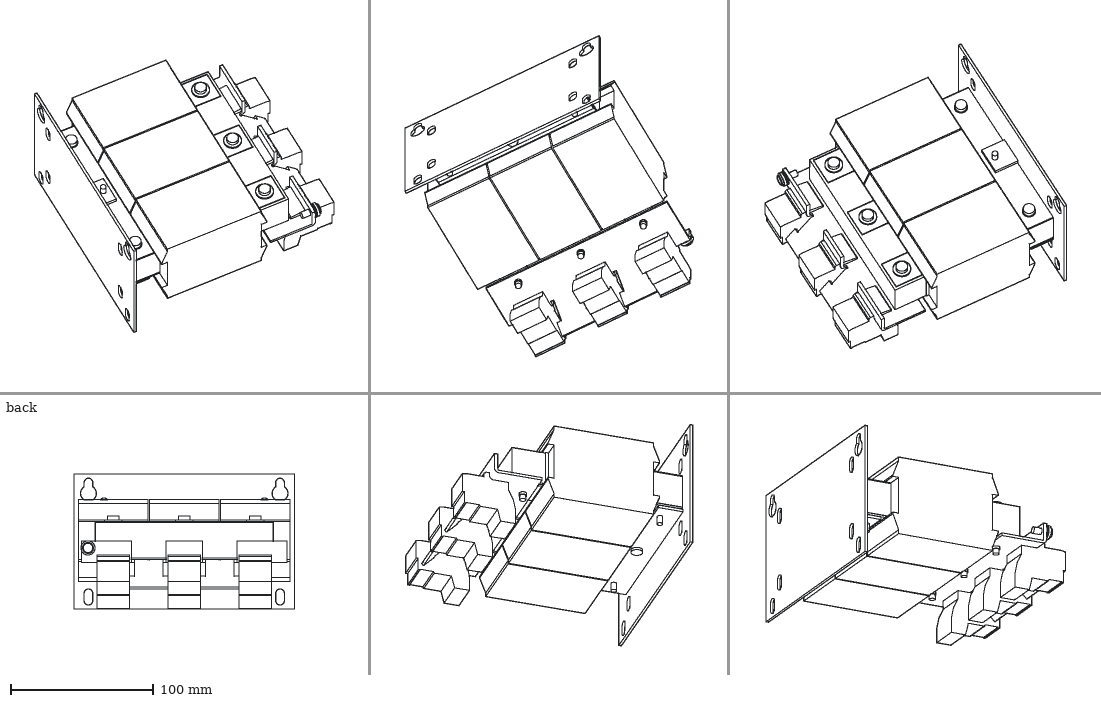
import cadquery as cq
import math


PLATE_W, PLATE_T, PLATE_H = 155.0, 2.0, 95.0
SLOT_W, SLOT_LEN = 6.0, 11.1
CORNER_X = 67.3
CORNER_SLOT_Z = -39.0
INNER_SLOT_X, INNER_SLOT_Z = 56.4, 25.0
KEYHOLE_R, KEYHOLE_Z, KEYHOLE_TOP = 5.5, 33.8, 44.5

PITCH = 49.9
PHASES = (-PITCH, 0, PITCH)
MID_Z = 0.7
CORE_W, CORE_BOTTOM, CORE_TOP = 125.4, -11.5, 13.5
CORE_Y0, CORE_Y1 = 2.5, 129.3
TOP_PAD_T, BOTTOM_PAD_T = 0.7, 1.3
STACK_TOP = CORE_TOP + TOP_PAD_T
STACK_BOTTOM = CORE_BOTTOM - BOTTOM_PAD_T
COIL_W, COIL_H = 48.9, 57.7
COIL_Y0, COIL_Y1 = 28.0, 102.0
LIP_REACH = 4.5
LIP_OUTER, LIP_TIP, LIP_INNER = 26.0, 14.6, 13.5
PAD_W, PAD_Y1 = 21.5, 127.3
END_BAR_T = 2.3
SIDE_INSET = 0.3

SHEET = 2.0
TOP_FOOT_W, TOP_FOOT_T = 20.2, 2.3
BOTTOM_FOOT_W = CORE_W - 4 * SIDE_INSET
FOOT_LEN = 20.2
FRONT_BOLT_Y, REAR_BOLT_Y = 15.1, 116.9
STUD_R, STUD_TOP, STUD_BOTTOM = 2.0, 21.7, -20.5
FRONT_HEAD_R, SIDE_HEAD_H, CENTRE_HEAD_H = 4.1, 3.6, 1.8
FRONT_WASHER_R, FRONT_WASHER_T = 4.6, 0.5
WASHER_R, WASHER_T = 6.3, 1.2
HEAD_R, HEAD_H = 4.1, 2.7
SMALL_NUT_R, SMALL_NUT_H = 2.7, 1.8
REAR_STUD_R, REAR_STUD_BOTTOM = 2.2, -19.9

SHELF_W, SHELF_Y0 = 144.6, 110.3
SHELF_TOP = STACK_BOTTOM
WALL_Y, WALL_T, WALL_TOP = 145.6, 2.5, 0.3
BEND_R, BEND_INNER_R = 3.2, 0.8
GAP_IN, GAP_OUT = 12.8, 15.0
NOTCH_Y0 = 141.1
FLAP_SLOPE = math.radians(45)
FLAP_BEND_Y, FLAP_BEND_R = 141.5, 2.8
FLAP_END_Y = 161.8
FLAP_WIDE_Y = 154.2

TERMINAL_W = 23.0
EARTH_X, EARTH_Z = 67.7, -4.5
EARTH_SHANK_R, EARTH_SHANK_Y = 2.3, 137.0
EARTH_HEAD_CHAMFER = 0.5
EARTH_STACK = ((5.0, 0.7), (4.0, 1.0), (5.0, 2.0), (3.8, 1.7))


def centred_block(x, width, y0, y1, z0, z1):
    """Box centred on x, spanning y0..y1 and z0..z1."""
    box = cq.Workplane("XY").box(width, y1 - y0, z1 - z0, centered=(True, False, False))
    return box.translate((x, y0, z0))


def rod_z(x, y, radius, z0, z1):
    return cq.Workplane("XY", origin=(x, y, z0)).circle(radius).extrude(z1 - z0)


def rod_y(x, z, radius, y0, y1):
    return cq.Workplane("XZ", origin=(x, y0, z)).circle(radius).extrude(y0 - y1)


def profile_x(points, x, width):
    """Extrude a (Y, Z) outline along X, centred on x."""
    return cq.Workplane("YZ", origin=(x - width / 2, 0, 0)).polyline(points).close().extrude(width)


def plate_slots(points):
    sketch = cq.Workplane("XZ").pushPoints(points).slot2D(SLOT_LEN, SLOT_W, 90)
    return sketch.extrude(-PLATE_T)


def mounting_plate():
    plate = centred_block(0, PLATE_W, 0, PLATE_T, -PLATE_H / 2, PLATE_H / 2)
    neck_z = KEYHOLE_TOP - SLOT_W / 2
    for side in (-1, 1):
        x = side * CORNER_X
        plate = plate.cut(rod_y(x, KEYHOLE_Z, KEYHOLE_R, 0, PLATE_T))
        plate = plate.cut(centred_block(x, SLOT_W, 0, PLATE_T, KEYHOLE_Z, neck_z))
        plate = plate.cut(rod_y(x, neck_z, SLOT_W / 2, 0, PLATE_T))
        inner_x = side * INNER_SLOT_X
        slot_centres = [(x, CORNER_SLOT_Z), (inner_x, INNER_SLOT_Z), (inner_x, -INNER_SLOT_Z)]
        plate = plate.cut(plate_slots(slot_centres))
    top_foot = centred_block(0, TOP_FOOT_W, 0, FOOT_LEN, STACK_TOP, STACK_TOP + TOP_FOOT_T)
    bottom_foot = centred_block(0, BOTTOM_FOOT_W, 0, FOOT_LEN, STACK_BOTTOM - SHEET, STACK_BOTTOM)
    return plate.union(top_foot).union(bottom_foot)


def core():
    pad_w = CORE_W - 2 * SIDE_INSET
    front = centred_block(0, CORE_W, CORE_Y0, COIL_Y0, CORE_BOTTOM, CORE_TOP)
    front_pads = centred_block(0, pad_w, CORE_Y0, COIL_Y0, STACK_BOTTOM, STACK_TOP)
    end_bar = centred_block(0, pad_w, COIL_Y1, COIL_Y1 + END_BAR_T, STACK_BOTTOM, STACK_TOP)
    rear = centred_block(0, CORE_W, COIL_Y1 + END_BAR_T, CORE_Y1, CORE_BOTTOM, CORE_TOP)
    yokes = front.union(front_pads).union(end_bar).union(rear)
    for x in PHASES:
        yokes = yokes.union(centred_block(x, PAD_W, COIL_Y1, PAD_Y1, STACK_BOTTOM, STACK_TOP))
    return yokes


def coil(x):
    body = centred_block(x, COIL_W, COIL_Y0, COIL_Y1, MID_Z - COIL_H / 2, MID_Z + COIL_H / 2)
    for end_y, outward in ((COIL_Y0, -1), (COIL_Y1, 1)):
        tip_y = end_y + outward * LIP_REACH
        for up in (-1, 1):
            lip = [
                (end_y, MID_Z + up * LIP_OUTER),
                (tip_y, MID_Z + up * LIP_TIP),
                (tip_y, MID_Z + up * LIP_INNER),
                (end_y, MID_Z + up * LIP_INNER),
            ]
            body = body.union(profile_x(lip, x, COIL_W))
    return body


def front_fasteners():
    foot_bottom = STACK_BOTTOM - SHEET
    centre_head = rod_z(0, FRONT_BOLT_Y, FRONT_HEAD_R, foot_bottom - CENTRE_HEAD_H, foot_bottom)
    parts = rod_z(0, FRONT_BOLT_Y, STUD_R, foot_bottom, STUD_TOP).union(centre_head)
    for x in (-PITCH, PITCH):
        washer = rod_z(x, FRONT_BOLT_Y, FRONT_WASHER_R, STACK_TOP, STACK_TOP + FRONT_WASHER_T)
        head = rod_z(x, FRONT_BOLT_Y, FRONT_HEAD_R, STACK_TOP, STACK_TOP + SIDE_HEAD_H)
        stud = rod_z(x, FRONT_BOLT_Y, STUD_R, STUD_BOTTOM, STACK_BOTTOM)
        parts = parts.union(washer).union(head).union(stud)
    return parts


def rear_fastener(x):
    washer_top = STACK_TOP + WASHER_T
    nut_top = SHELF_TOP - SHEET
    washer = rod_z(x, REAR_BOLT_Y, WASHER_R, STACK_TOP, washer_top)
    head = rod_z(x, REAR_BOLT_Y, HEAD_R, washer_top, washer_top + HEAD_H)
    nut = rod_z(x, REAR_BOLT_Y, SMALL_NUT_R, nut_top - SMALL_NUT_H, nut_top)
    stud = rod_z(x, REAR_BOLT_Y, REAR_STUD_R, REAR_STUD_BOTTOM, SHELF_TOP)
    return washer.union(head).union(nut).union(stud)


def flap_point(run, depth):
    """(Y, Z) on a sloping flap: run along it from the end of its bend, depth below its top face."""
    radius = FLAP_BEND_R - depth
    y = FLAP_BEND_Y + radius * math.sin(FLAP_SLOPE) + run * math.cos(FLAP_SLOPE)
    z = SHELF_TOP - FLAP_BEND_R + radius * math.cos(FLAP_SLOPE) - run * math.sin(FLAP_SLOPE)
    return y, z


def bend_middle(depth):
    """(Y, Z) halfway round the flap bend."""
    radius = FLAP_BEND_R - depth
    y = FLAP_BEND_Y + radius * math.sin(FLAP_SLOPE / 2)
    z = SHELF_TOP - FLAP_BEND_R + radius * math.cos(FLAP_SLOPE / 2)
    return y, z


def flap(x):
    """Sheet bent down behind the shelf between two phases, wider towards its end."""
    narrow_w = PITCH - 2 * GAP_OUT
    wide_w = PITCH - TERMINAL_W
    root_y = NOTCH_Y0 - SHEET
    straight_y = flap_point(0, 0)[0]
    end_run = (FLAP_END_Y - straight_y) / math.cos(FLAP_SLOPE)
    wide_run = (FLAP_WIDE_Y - straight_y) / math.cos(FLAP_SLOPE)
    tongue = (
        cq.Workplane("YZ", origin=(x - narrow_w / 2, 0, 0))
        .moveTo(root_y, SHELF_TOP)
        .lineTo(FLAP_BEND_Y, SHELF_TOP)
        .threePointArc(bend_middle(0), flap_point(0, 0))
        .lineTo(*flap_point(end_run, 0))
        .lineTo(*flap_point(end_run, SHEET))
        .lineTo(*flap_point(0, SHEET))
        .threePointArc(bend_middle(SHEET), (FLAP_BEND_Y, SHELF_TOP - SHEET))
        .lineTo(root_y, SHELF_TOP - SHEET)
        .close()
        .extrude(narrow_w)
    )
    wide_outline = [
        flap_point(wide_run, 0), flap_point(end_run, 0),
        flap_point(end_run, SHEET), flap_point(wide_run, SHEET),
    ]
    return tongue.union(profile_x(wide_outline, x, wide_w))


def terminal_bracket():
    shelf_bottom = SHELF_TOP - SHEET
    wall_front = WALL_Y - WALL_T
    shelf = centred_block(0, SHELF_W, SHELF_Y0, WALL_Y, shelf_bottom, SHELF_TOP)
    wall = centred_block(0, SHELF_W, wall_front, WALL_Y, shelf_bottom, WALL_TOP)
    angle = shelf.union(wall).edges("|X and >Y and <Z").fillet(BEND_R)
    inner_corner = cq.selectors.NearestToPointSelector((0, wall_front, SHELF_TOP))
    angle = angle.edges(inner_corner).fillet(BEND_INNER_R)
    for x in (-PITCH / 2, PITCH / 2):
        opening = centred_block(x, PITCH - 2 * GAP_IN, NOTCH_Y0, WALL_Y, shelf_bottom, WALL_TOP)
        angle = angle.cut(opening).union(flap(x))
    return angle


def terminal(x):
    """Terminal block whose outline is in (Y, Z): over the top, down the front, back underneath."""
    outline = [
        (165.8, -14.0), (162.5, -13.3), (149.5, -13.3), (149.5, -10.6), (148.2, -9.5), (142.6, -9.5),
        (132.0, -11.1), (131.3, -12.0), (131.3, -21.0), (127.8, -28.2), (126.2, -36.3), (126.2, -47.1),
        (137.3, -47.1), (139.6, -38.0), (152.4, -38.0), (153.0, -36.8), (163.0, -36.8),
        (163.0, -37.3), (164.3, -37.3), (164.3, -28.2), (165.8, -28.2),
    ]
    return profile_x(outline, x, TERMINAL_W)


def earth_screw():
    screw = rod_y(EARTH_X, EARTH_Z, EARTH_SHANK_R, EARTH_SHANK_Y, WALL_Y)
    y = WALL_Y
    for radius, thickness in EARTH_STACK:
        screw = screw.union(rod_y(EARTH_X, EARTH_Z, radius, y, y + thickness))
        y += thickness
    return screw.faces(">Y").chamfer(EARTH_HEAD_CHAMFER)


result = mounting_plate().union(core()).union(front_fasteners())
for phase_x in PHASES:
    result = result.union(coil(phase_x))
result = result.union(terminal_bracket()).union(earth_screw())
for phase_x in PHASES:
    result = result.union(rear_fastener(phase_x)).union(terminal(phase_x))